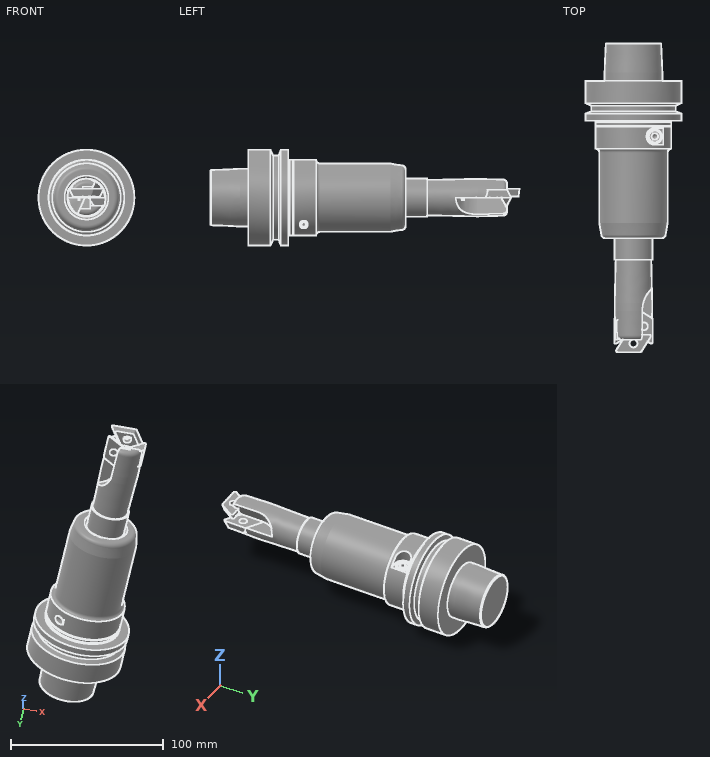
import cadquery as cq
import math


overall_length = 202.5

taper_length = 24.7
taper_base_length = 5.5
taper_base_radius = 19.0
taper_end_radius = 18.2
taper_chamfer = 0.6
flange_diameter = 63.0
flange_radius = flange_diameter / 2
flange_length = 26.3
gripper_groove_radius = 27.8
gripper_groove_start = 14.5
gripper_groove_floor_start = 16.5
gripper_groove_floor_end = 20.0
gripper_groove_end = 21.5

collar_radius = 25.0
collar_end = 44.5
relief_depth = 0.2
relief_ends = [(flange_length, 27.4), (29.4, 30.0)]
tube_radius = 22.5
tube_fillet = collar_radius - tube_radius
nose_start = 93.2
nose_radius = 21.3
nose_round = 3.0
holder_end = 103.3
bore_depth = 50.6
bore_chamfer = 1.8

screw_station = 36.5
flat_height = 15.5
flat_radius = 5.5
top_screw_x = 14.0
top_screw_radius = 3.8
top_screw_gap = 0.8
top_screw_depth = 1.0
top_socket_diameter = 4.9
side_screw_z = -17.6
side_screw_radius = 2.6
side_screw_face_x = 14.5
side_socket_diameter = 3.5
socket_sides = 6
socket_depth = 3.0
socket_point_angle = 30.0
half_side_angle = 180 / socket_sides

shank_radius = 12.5
shank_end = 117.3
neck_radius = 11.8
land_radius = 12.4
land_start = 145.5
land_end = 150.7
tip_radius = 12.0
tip_round = 3.0
cutter_end = 169.8
flute_wall_x = 1.0
flute_wall_tilt = 24.0
flute_runout = 150.1
flute_runout_radius = 14.5
gash_root = 166.0
gash_angle = 28.0
gash_reach = 2.5
coolant_radius = 0.6
coolant_x = 4.9
coolant_z = 1.2
coolant_start = 121.5

insert_length = 17.2
insert_width = 11.5
insert_thickness = 5.3
insert_angle = 58.0
insert_side_clearance = 7.0
insert_end_clearance = 20.0
insert_corner_radius = 1.0
insert_hole_diameter = 5.0
end_insert_station = overall_length - taper_length - insert_width / 2
end_insert_rake_z = 5.9
side_insert_station = 160.9
side_insert_x = 6.9

axis_start = (0, 0, 0)
axis_end = (0, 1, 0)


def revolve_about_axis(profile):
    return profile.close().revolve(360, axis_start, axis_end)


def ring_cut(inner_radius, start, end):
    """Square groove around the collar between two stations."""
    return revolve_about_axis(
        cq.Workplane("XY")
        .moveTo(inner_radius, -start)
        .lineTo(flange_radius, -start)
        .lineTo(flange_radius, -end)
        .lineTo(inner_radius, -end)
    )


def make_holder_blank():
    return revolve_about_axis(
        cq.Workplane("XY")
        .moveTo(0, taper_length)
        .lineTo(taper_end_radius - taper_chamfer, taper_length)
        .lineTo(taper_end_radius, taper_length - taper_chamfer)
        .lineTo(taper_base_radius, taper_base_length)
        .lineTo(taper_base_radius, 0)
        .lineTo(flange_radius, 0)
        .lineTo(flange_radius, -gripper_groove_start)
        .lineTo(gripper_groove_radius, -gripper_groove_floor_start)
        .lineTo(gripper_groove_radius, -gripper_groove_floor_end)
        .lineTo(flange_radius, -gripper_groove_end)
        .lineTo(flange_radius, -flange_length)
        .lineTo(collar_radius, -flange_length)
        .lineTo(collar_radius, -collar_end)
        .radiusArc((tube_radius, -collar_end - tube_fillet), -tube_fillet)
        .lineTo(tube_radius, -nose_start)
        .lineTo(nose_radius, -holder_end + nose_round)
        .radiusArc((nose_radius - nose_round, -holder_end), nose_round)
        .lineTo(0, -holder_end)
    )


def make_bore():
    bore_end = holder_end - bore_depth
    return revolve_about_axis(
        cq.Workplane("XY")
        .moveTo(0, -bore_end)
        .lineTo(shank_radius, -bore_end)
        .lineTo(shank_radius, -holder_end + bore_chamfer)
        .lineTo(shank_radius + bore_chamfer, -holder_end)
        .lineTo(0, -holder_end)
    )


def make_socket(diameter):
    """Hex socket running down from Z = 0 and ending in a drill point."""
    socket = cq.Workplane("XY").polygon(socket_sides, diameter).extrude(-socket_depth)
    point_radius = diameter / 2 * math.cos(math.radians(half_side_angle))
    point_depth = point_radius * math.tan(math.radians(socket_point_angle))
    point = cq.Solid.makeCone(point_radius, 0, point_depth, (0, 0, -socket_depth), (0, 0, -1))
    return socket.union(cq.Workplane(point))


def make_top_screw_cuts():
    """Milled flat open to the +X side, with the gap round the screw and its hex socket."""
    face = cq.Workplane("XY", origin=(top_screw_x, -screw_station, flat_height))
    height = collar_radius
    flat = face.circle(flat_radius).extrude(height)
    flat_exit = face.rect(collar_radius, 2 * flat_radius).extrude(height)
    flat_exit = flat_exit.translate((collar_radius / 2, 0, 0))
    gap = face.circle(top_screw_radius + top_screw_gap).circle(top_screw_radius).extrude(-top_screw_depth)
    socket = make_socket(top_socket_diameter).translate((top_screw_x, -screw_station, flat_height))
    return flat.union(flat_exit).union(gap).union(socket)


def make_side_screw_cuts():
    """Recess down to the face of the -X screw, with its hex socket."""
    face = cq.Workplane("YZ", origin=(-side_screw_face_x, -screw_station, side_screw_z))
    recess = face.circle(side_screw_radius).extrude(-collar_radius)
    socket = make_socket(side_socket_diameter).rotate(axis_start, axis_end, -90)
    socket = socket.translate((-side_screw_face_x, -screw_station, side_screw_z))
    return recess.union(socket)


def make_holder():
    holder = make_holder_blank().cut(make_bore())
    for start, end in relief_ends:
        holder = holder.cut(ring_cut(collar_radius - relief_depth, start, end))
    return holder.cut(make_top_screw_cuts()).cut(make_side_screw_cuts())


def add_parallelogram(plane, half_length, half_width):
    lean = half_width / math.tan(math.radians(insert_angle))
    return plane.polyline([
        (-half_length - lean, -half_width),
        (half_length - lean, -half_width),
        (half_length + lean, half_width),
        (-half_length + lean, half_width),
    ]).close()


def make_insert():
    """Parallelogram insert centred on Z, rake face up at Z = 0, sides tapering in below it."""
    half_length = insert_length / 2
    half_width = insert_width / 2
    side_inset = insert_thickness * math.tan(math.radians(insert_side_clearance))
    end_inset = insert_thickness * math.tan(math.radians(insert_end_clearance))
    length_inset = end_inset / math.sin(math.radians(insert_angle))
    rake_outline = add_parallelogram(cq.Workplane("XY"), half_length, half_width)
    base_plane = rake_outline.workplane(offset=-insert_thickness)
    base_outline = add_parallelogram(base_plane, half_length - length_inset, half_width - side_inset)
    insert = base_outline.loft(ruled=True)
    insert = insert.edges("not(#Z)").fillet(insert_corner_radius)
    hole = cq.Workplane("XY").circle(insert_hole_diameter / 2).extrude(-insert_thickness)
    return insert.cut(hole)


def half_turn(body):
    """The same body turned half a turn about the tool axis."""
    return body.rotate(axis_start, axis_end, 180)


def make_inserts():
    insert = make_insert()
    end_insert = insert.translate((0, -end_insert_station, end_insert_rake_z))
    side_insert = insert.rotate((0, 0, 0), (0, 0, 1), 90)
    side_insert = side_insert.translate((side_insert_x, -side_insert_station, 0))
    return [end_insert, side_insert, half_turn(side_insert)]


def make_cutter_blank():
    return revolve_about_axis(
        cq.Workplane("XY")
        .moveTo(0, -holder_end + bore_depth)
        .lineTo(shank_radius, -holder_end + bore_depth)
        .lineTo(shank_radius, -shank_end)
        .lineTo(neck_radius, -shank_end)
        .lineTo(land_radius, -land_start)
        .lineTo(land_radius, -land_end)
        .lineTo(tip_radius, -cutter_end + tip_round)
        .radiusArc((tip_radius - tip_round, -cutter_end), tip_round)
        .lineTo(0, -cutter_end)
    )


def make_flute():
    """Flute with its floor on Z = 0 and a leaning wall that runs out along an arc."""
    outer_x = flute_wall_x + flute_runout_radius
    runout_start = flute_runout - flute_runout_radius
    outline = (
        cq.Workplane("XY")
        .moveTo(flute_wall_x, -cutter_end)
        .lineTo(flute_wall_x, -flute_runout)
        .radiusArc((outer_x, -runout_start), flute_runout_radius)
        .lineTo(outer_x, -cutter_end)
        .close()
        .val()
    )
    height = shank_radius
    lean = height * math.tan(math.radians(flute_wall_tilt))
    return cq.Workplane(cq.Solid.extrudeLinear(outline, [], cq.Vector(lean, 0, height)))


def make_gash():
    """Sloping cut across the lower half of the cutter's end, stopping just past the axis."""
    height = (cutter_end - gash_root) / math.tan(math.radians(gash_angle))
    return (
        cq.Workplane("YZ", origin=(gash_reach, 0, 0))
        .moveTo(-gash_root, 0)
        .lineTo(-cutter_end, 0)
        .lineTo(-cutter_end, -height)
        .close()
        .extrude(-shank_radius - gash_reach)
    )


def make_front_relief():
    """Opening that leaves the front end of the side insert clear of the cutter body."""
    length = cutter_end - gash_root
    relief = cq.Workplane("XY").box(shank_radius, length, insert_thickness, centered=False)
    return relief.translate((gash_reach, -cutter_end, -insert_thickness))


def make_coolant_hole():
    hole = cq.Workplane("XZ", origin=(coolant_x, -coolant_start, coolant_z))
    return hole.circle(coolant_radius).extrude(flute_runout - coolant_start)


def make_cutter(inserts):
    cutter = make_cutter_blank()
    for feature in [make_flute(), make_coolant_hole(), make_gash(), make_front_relief()]:
        cutter = cutter.cut(feature).cut(half_turn(feature))
    for insert in inserts:
        cutter = cutter.cut(insert)
    return cutter


inserts = make_inserts()
cutter = make_cutter(inserts)
holder = make_holder()
result = cq.Compound.makeCompound([holder.val(), cutter.val(), *[insert.val() for insert in inserts]])